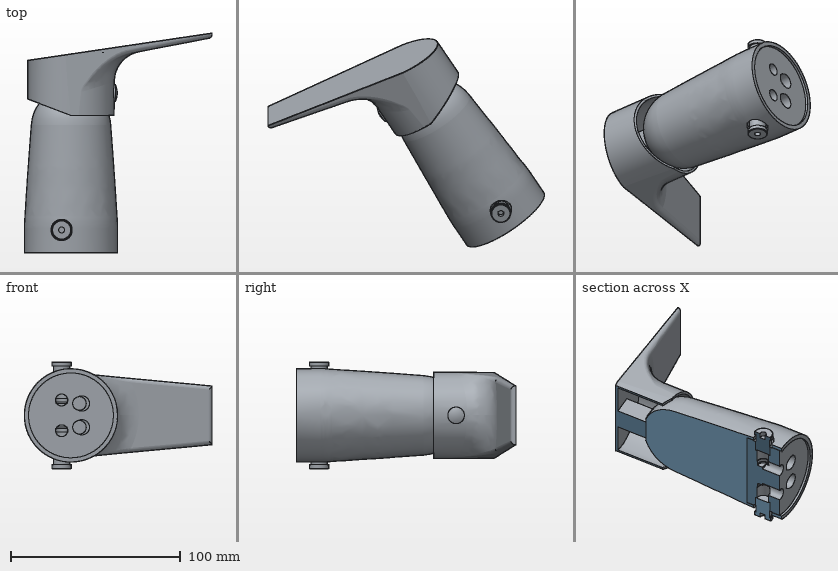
import cadquery as cq
import math


SHELL_RADIUS = 27.5
BASE_HEIGHT = 14.1
FLARE_TOP = 21.1
FLARE_TOP_RADIUS = 27.2
TAPER_MID = 48.0
TAPER_MID_RADIUS = 25.45
BALL_RADIUS = 23.5
BALL_CENTRE = 73.8
BALL_SEAM = 75.0
DOME_TOP = 95.0

INSERT_RADIUS = 25.0
INSERT_RECESS = 1.5
INSERT_TOP = 24.0
PORT_DIAMETER = 7.0
PORT_OFFSET = 9.05
SUPPLY_DIAMETER = 8.0
SUPPLY_X = 5.0
SUPPLY_OFFSET = 7.0
SUPPLY_SINK_DIAMETER = 9.0
SUPPLY_SINK_SHIFT = 1.4
SUPPLY_SINK_DEPTH = 10.0

SCREW_X = -5.5
SCREW_Y = 13.4
SCREW_END = 31.55
SCREW_HEAD_DIAMETER = 11.5
SCREW_HEAD_HEIGHT = 2.5
SCREW_HEAD_CHAMFER = 0.4
SCREW_STEM_DIAMETER = 9.8
SCREW_SEAT = 18.0
SCREW_SOCKET_DIAMETER = 3.5
SCREW_SOCKET_DEPTH = 3.0
SCREW_CLEARANCE_DIAMETER = 12.5
BORE_STEPS = [(8.0, 9.85), (7.25, 7.85), (7.0, 6.9)]

HANDLE_RADIUS = 25.5
HANDLE_WALL = 1.5
HANDLE_BOTTOM = 80.8
LEVER_END_X = 83.11
LEVER_END_Y = 129.38
LEVER_TOP_SLOPE = 0.148
LEVER_END_THICKNESS = 2.85
LEVER_UNDER_SLOPE = 0.192
LEVER_BLEND_RADIUS = 18.0
LEVER_EDGE_RADIUS = 2.5
TOP_EDGE_CHAMFER = 0.25
LEVER_SIDE_SLOPE = 0.0907
SIDE_DRAFT = 0.0128
UNDERCUT_START_X = 2.0
HEEL_SLOPE = 0.38
HANDLE_ROOF = 2.0
HUB_HALF_WIDTH = 6.2

BUTTON_DIAMETER = 9.8
BUTTON_Y = 94.0
BUTTON_INNER_X = 23.0
BUTTON_RIM_X = 26.1
BUTTON_CROWN_X = 27.3

MARGIN = 40.0


def cylinder_y(diameter, start, end, x=0.0, z=0.0):
    """Cylinder along +Y between two heights."""
    return (
        cq.Workplane("XZ", origin=(x, start, z))
        .circle(diameter / 2)
        .extrude(start - end)
    )


def cylinder_z(diameter, start, end, x=SCREW_X, y=SCREW_Y):
    """Cylinder along +Z between two Z values."""
    return cq.Workplane("XY", origin=(x, y, start)).circle(diameter / 2).extrude(end - start)


def side_profile(points):
    """Polygon in the XY plane, extruded to both sides past the whole part."""
    return cq.Workplane("XY").polyline(points).close().extrude(MARGIN, both=True)


def both_sides(solid):
    """The solid on +Z together with its mirror image on -Z."""
    return solid.union(solid.mirror("XY"))


def ball_radius_at(height):
    return math.sqrt(BALL_RADIUS**2 - (height - BALL_CENTRE) ** 2)


def make_shell():
    ball_mid = (BALL_SEAM + DOME_TOP) / 2
    flare_mid = (BASE_HEIGHT + FLARE_TOP) / 2
    flare_mid_radius = SHELL_RADIUS - (SHELL_RADIUS - FLARE_TOP_RADIUS) / 4
    shell = (
        cq.Workplane("XY")
        .lineTo(SHELL_RADIUS, 0)
        .lineTo(SHELL_RADIUS, BASE_HEIGHT)
        .threePointArc((flare_mid_radius, flare_mid), (FLARE_TOP_RADIUS, FLARE_TOP))
        .threePointArc((TAPER_MID_RADIUS, TAPER_MID), (ball_radius_at(BALL_SEAM), BALL_SEAM))
        .threePointArc((ball_radius_at(ball_mid), ball_mid), (ball_radius_at(DOME_TOP), DOME_TOP))
        .lineTo(0, DOME_TOP)
        .close()
        .revolve(360, (0, 0, 0), (0, 1, 0))
    )
    shell = shell.cut(cylinder_y(2 * INSERT_RADIUS, 0, INSERT_TOP))
    return shell.cut(both_sides(cylinder_z(SCREW_CLEARANCE_DIAMETER, INSERT_RADIUS / 2, MARGIN)))


def screw_bore():
    """Screw seat and the stepped bore below it, on the +Z side."""
    bore = cylinder_z(SCREW_STEM_DIAMETER, SCREW_SEAT, MARGIN)
    for diameter, step_end in BORE_STEPS:
        bore = bore.union(cylinder_z(diameter, step_end, SCREW_SEAT))
    return bore


def make_insert():
    insert = cylinder_y(2 * INSERT_RADIUS, INSERT_RECESS, INSERT_TOP)
    insert = insert.cut(both_sides(screw_bore()))
    port = cylinder_y(PORT_DIAMETER, 0, SCREW_Y, SCREW_X, PORT_OFFSET)
    supply = cylinder_y(SUPPLY_DIAMETER, 0, INSERT_TOP, SUPPLY_X, SUPPLY_OFFSET)
    sink = cylinder_y(
        SUPPLY_SINK_DIAMETER, 0, SUPPLY_SINK_DEPTH, SUPPLY_X + SUPPLY_SINK_SHIFT, SUPPLY_OFFSET
    )
    for passage in (port, supply, sink):
        insert = insert.cut(both_sides(passage))
    return insert


def make_screw():
    """Screw on the +Z side: stem, chamfered head and a round socket."""
    head_base = SCREW_END - SCREW_HEAD_HEIGHT
    head = cylinder_z(SCREW_HEAD_DIAMETER, head_base, SCREW_END)
    head = head.faces(">Z").chamfer(SCREW_HEAD_CHAMFER)
    screw = head.union(cylinder_z(SCREW_STEM_DIAMETER, SCREW_SEAT, head_base))
    return screw.cut(cylinder_z(SCREW_SOCKET_DIAMETER, SCREW_END - SCREW_SOCKET_DEPTH, SCREW_END))


def top_height(x):
    """Height of the sloping top face of the handle."""
    return LEVER_END_Y - LEVER_TOP_SLOPE * (LEVER_END_X - x)


def under_height(x):
    """Height of the flat underside of the lever."""
    return LEVER_END_Y - LEVER_END_THICKNESS - LEVER_UNDER_SLOPE * (LEVER_END_X - x)


def under_lever_space():
    """Space below the lever and around the sleeve, with a rounded rim for the blend."""
    right = LEVER_END_X + MARGIN
    floor = HANDLE_BOTTOM - MARGIN
    block = side_profile(
        [
            (-MARGIN, floor),
            (right, floor),
            (right, under_height(right)),
            (-MARGIN, under_height(-MARGIN)),
        ]
    )
    block = block.cut(cylinder_y(2 * HANDLE_RADIUS, floor - 1, LEVER_END_Y))
    rim = cq.selectors.BoxSelector(
        (-HANDLE_RADIUS, under_height(-HANDLE_RADIUS), -HANDLE_RADIUS),
        (HANDLE_RADIUS, under_height(HANDLE_RADIUS), HANDLE_RADIUS),
    )
    space = block.edges(rim).edges("%ELLIPSE").fillet(LEVER_BLEND_RADIUS)
    lever_side = (
        cq.Workplane("XY", origin=(UNDERCUT_START_X, HANDLE_BOTTOM, 0))
        .box(right, 4 * MARGIN, 4 * MARGIN, centered=(False, True, True))
    )
    return space.intersect(lever_side)


def drafted_wedge():
    """Space between the two tapering, slightly drafted side planes of the handle."""
    top = LEVER_END_Y + 1
    right = LEVER_END_X + 1

    def half_width(x, y):
        return HANDLE_RADIUS - LEVER_SIDE_SLOPE * x - SIDE_DRAFT * (y - HANDLE_BOTTOM)

    def outline(y):
        return [
            (-MARGIN, -half_width(-MARGIN, y)),
            (right, -half_width(right, y)),
            (right, half_width(right, y)),
            (-MARGIN, half_width(-MARGIN, y)),
        ]

    return (
        cq.Workplane("XZ", origin=(0, HANDLE_BOTTOM, 0))
        .polyline(outline(HANDLE_BOTTOM))
        .close()
        .workplane(offset=HANDLE_BOTTOM - top)
        .polyline(outline(top))
        .close()
        .loft(ruled=True)
    )


def below_slope(drop):
    """Space under a plane that lies the given distance below the top face."""
    floor = HANDLE_BOTTOM - MARGIN
    right = LEVER_END_X + 1
    return side_profile(
        [
            (-MARGIN, floor),
            (right, floor),
            (right, top_height(right) - drop),
            (-MARGIN, top_height(-MARGIN) - drop),
        ]
    )


def is_lever_rim(edge):
    """True for the lower edges of the lever: its two sides with the blend, and its tip."""
    box = edge.BoundingBox()
    middle = edge.Center()
    is_low = middle.y < under_height(middle.x) + LEVER_END_THICKNESS / 4
    is_on_side = abs(middle.z) > HUB_HALF_WIDTH and box.xlen > 1 and box.ymin > HANDLE_BOTTOM + 1
    is_tip = box.xmin > LEVER_END_X - 1 and box.ylen < 1
    return is_low and middle.x > 0 and (is_on_side or is_tip)


def handle_blank():
    """Outside shape of the handle."""
    height = LEVER_END_Y - HANDLE_BOTTOM
    sleeve = cylinder_y(2 * HANDLE_RADIUS, HANDLE_BOTTOM, LEVER_END_Y)
    lever = (
        cq.Workplane("XY", origin=(0, HANDLE_BOTTOM, 0))
        .box(LEVER_END_X, height, 2 * HANDLE_RADIUS, centered=(False, False, True))
    )
    blank = sleeve.union(lever).cut(under_lever_space())
    blank = blank.intersect(drafted_wedge()).intersect(below_slope(0))
    rim = [edge for edge in blank.edges().vals() if is_lever_rim(edge)]
    blank = blank.newObject(rim).fillet(LEVER_EDGE_RADIUS)
    top_middle = (HANDLE_RADIUS, top_height(HANDLE_RADIUS), 0)
    blank = blank.faces(cq.selectors.NearestToPointSelector(top_middle)).chamfer(TOP_EDGE_CHAMFER)
    heel_gap = side_profile(
        [
            (0, HANDLE_BOTTOM),
            (-MARGIN, HANDLE_BOTTOM + HEEL_SLOPE * MARGIN),
            (-MARGIN, HANDLE_BOTTOM),
        ]
    )
    return blank.cut(heel_gap)


def make_handle():
    """Handle with its hollow sleeve, the square hub that rests on the dome, and the button hole."""
    cavity = cylinder_y(2 * (HANDLE_RADIUS - HANDLE_WALL), HANDLE_BOTTOM, LEVER_END_Y)
    cavity = cavity.intersect(below_slope(HANDLE_ROOF))
    hub = (
        cq.Workplane("XY", origin=(0, DOME_TOP, 0))
        .box(2 * HUB_HALF_WIDTH, MARGIN, 2 * HUB_HALF_WIDTH, centered=(True, False, True))
    )
    return handle_blank().cut(cavity.cut(hub)).cut(button_plug(LEVER_END_X))


def button_plug(end):
    """Cylinder along +X from the inner end of the button to the given X."""
    return (
        cq.Workplane("YZ", origin=(BUTTON_INNER_X, BUTTON_Y, 0))
        .circle(BUTTON_DIAMETER / 2)
        .extrude(end - BUTTON_INNER_X)
    )


def make_button():
    """Round button with a domed face."""
    radius = BUTTON_DIAMETER / 2
    crown_height = BUTTON_CROWN_X - BUTTON_RIM_X
    ball_radius = (radius**2 + crown_height**2) / (2 * crown_height)
    ball = cq.Workplane("XY", origin=(BUTTON_CROWN_X - ball_radius, BUTTON_Y, 0)).sphere(ball_radius)
    return button_plug(BUTTON_CROWN_X).intersect(ball)


shell = make_shell()
insert = make_insert()
screw = make_screw()
screws = [screw, screw.mirror("XY")]
handle = make_handle()
button = make_button()

result = cq.Compound.makeCompound(
    [
        shell.val(),
        insert.val(),
        *[copy.val() for copy in screws],
        handle.val(),
        button.val(),
    ]
)